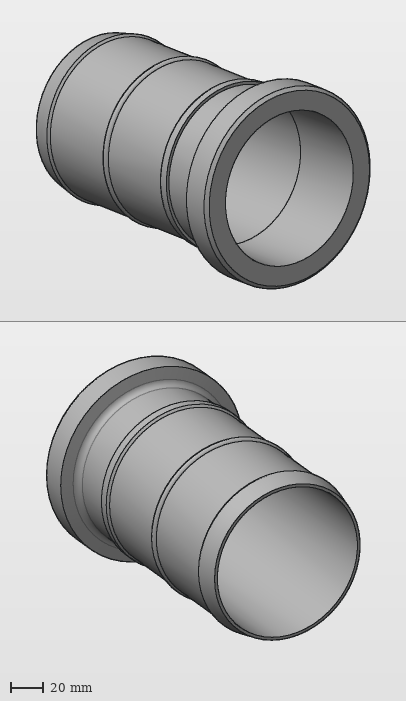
import cadquery as cq
import math

length = 190.0
bore_radius = 100.0 / 2

tail_radius = 107.0 / 2
barb_radius = 110.0 / 2
tip_radius = 104.0 / 2
barb_height = barb_radius - tail_radius
tip_length = 14.8
bead_start = 70.3
bead_width = 5.1
collar_start = 128.8
tail_length = 136.5

neck_radius = 106.0 / 2
flange_radius = 130.0 / 2
flange_rim_start = 169.9
rim_chamfer = 2.3
flange_face_slope = math.radians(10)
root_outer_radius = 113.8 / 2


def revolve_about_x(profile):
    return profile.close().revolve(360, (0, 0, 0), (1, 0, 0))


def make_hose_tail():
    """Tube with a tapered tip, a rounded middle bead and a square-backed collar."""
    bead_end = bead_start + bead_width
    bead_middle = bead_start + bead_width / 2
    profile = (
        cq.Workplane("XY")
        .moveTo(0, bore_radius)
        .lineTo(0, tip_radius)
        .lineTo(tip_length, barb_radius)
        .lineTo(tip_length + barb_height, tail_radius)
        .lineTo(bead_start, tail_radius)
        .threePointArc((bead_middle, barb_radius), (bead_end, tail_radius))
        .lineTo(collar_start, tail_radius)
        .lineTo(collar_start + barb_height, barb_radius)
        .lineTo(tail_length, barb_radius)
        .lineTo(tail_length, bore_radius)
    )
    return revolve_about_x(profile)


def make_flanged_neck():
    """Neck butted against the tail collar, filleted into a flange with a sloped face."""
    face_run = (flange_radius - root_outer_radius) * math.tan(flange_face_slope)
    root_end = flange_rim_start - face_run

    root_turn = math.pi / 2 - flange_face_slope
    root_fillet = (root_outer_radius - neck_radius) / (1 - math.cos(root_turn))
    root_start = root_end - root_fillet * math.sin(root_turn)
    root_middle = (
        root_start + root_fillet * math.sin(root_turn / 2),
        neck_radius + root_fillet * (1 - math.cos(root_turn / 2)),
    )

    profile = (
        cq.Workplane("XY")
        .moveTo(tail_length, bore_radius)
        .lineTo(tail_length, neck_radius)
        .lineTo(root_start, neck_radius)
        .threePointArc(root_middle, (root_end, root_outer_radius))
        .lineTo(flange_rim_start, flange_radius)
        .lineTo(length - rim_chamfer, flange_radius)
        .lineTo(length, flange_radius - rim_chamfer)
        .lineTo(length, bore_radius)
    )
    return revolve_about_x(profile)


hose_tail = make_hose_tail()
flanged_neck = make_flanged_neck()

result = cq.Compound.makeCompound([hose_tail.val(), flanged_neck.val()])